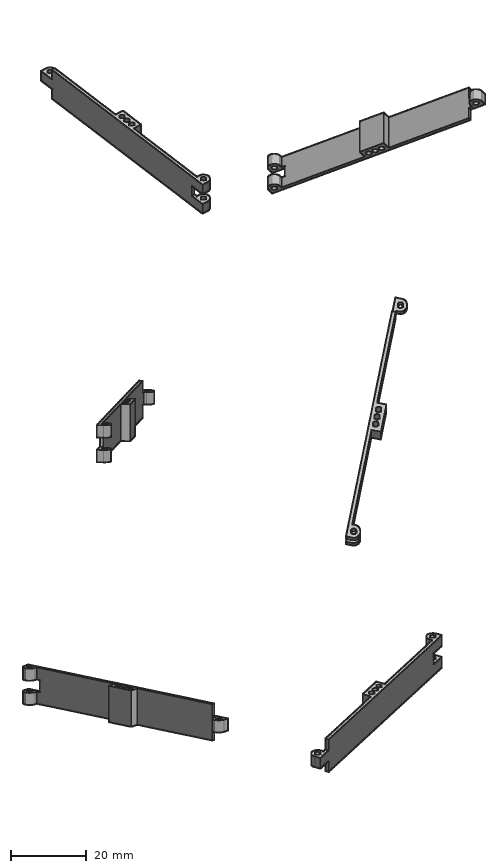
import cadquery as cq

length = 66.5
depth = 3.5
height = 10.0

plate_thickness = 1.0
hinge_length = 4.5
tongue_height = height / 3
knuckle_radius = depth / 2
hole_diameter = 1.5

block_length = 7.5
block_hole_spacing = 2.0

mid_x = length / 2
hole_y = depth / 2
tongue_knuckle_x = knuckle_radius
fork_knuckle_x = length - knuckle_radius


def slab(x_start, x_length, y_depth, z_height):
    """Box on the flat face, centred on mid-height."""
    return (
        cq.Workplane("XY")
        .box(x_length, y_depth, z_height, centered=(False, False, True))
        .translate((x_start, 0, 0))
    )


def cylinders(x_places, diameter, z_height):
    """Vertical cylinders at knuckle depth, centred on mid-height."""
    return (
        cq.Workplane("XY", origin=(0, hole_y, -z_height / 2))
        .pushPoints([(x, 0) for x in x_places])
        .circle(diameter / 2)
        .extrude(z_height)
    )


def knuckle(x_center, z_height):
    """Hinge knuckle: round back on a square base."""
    base = slab(x_center - knuckle_radius, 2 * knuckle_radius, hole_y, z_height)
    return base.union(cylinders([x_center], 2 * knuckle_radius, z_height))


plate = slab(hinge_length, length - hinge_length, plate_thickness, height)
tongue = slab(0, hinge_length, plate_thickness, tongue_height)
body = plate.union(tongue).union(knuckle(tongue_knuckle_x, tongue_height))

body = body.union(knuckle(fork_knuckle_x, height))
body = body.cut(slab(length - hinge_length, hinge_length, depth, tongue_height))

body = body.union(slab(mid_x - block_length / 2, block_length, depth, height))

block_hole_places = [mid_x + i * block_hole_spacing for i in (-1, 0, 1)]
hole_places = [tongue_knuckle_x, fork_knuckle_x] + block_hole_places
result = body.cut(cylinders(hole_places, hole_diameter, height))